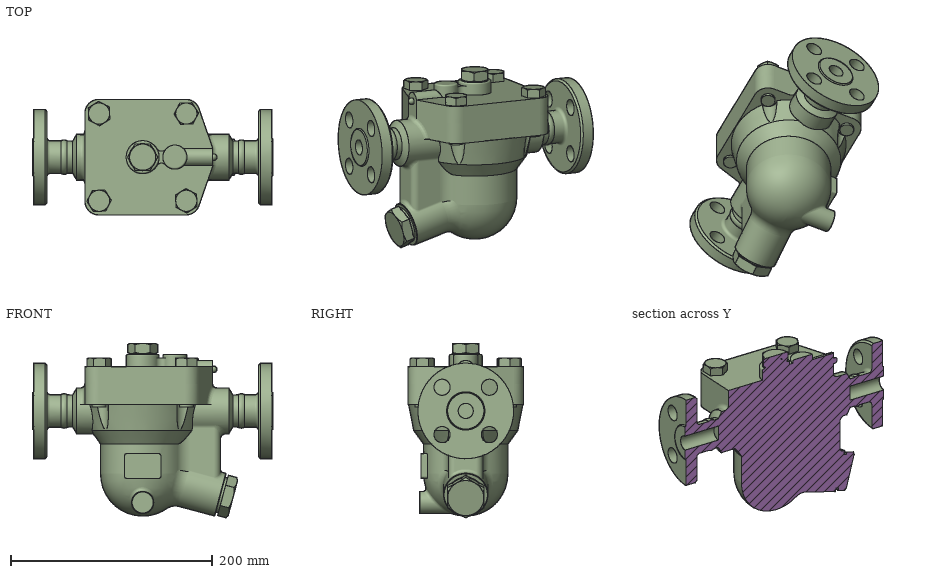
import cadquery as cq
import math


HEX_HALF_ANGLE = math.radians(30)
HEAD_CHAMFER_ANGLE = math.radians(30)

SELECT_MARGIN = 1.0

FACE_TO_FACE = 239.0
PIPE_MID_X = 10.0
HALF_LENGTH = FACE_TO_FACE / 2
RAISED_FACE_HEIGHT = 1.3
RAISED_FACE_RADIUS = 19.0
RAISED_FACE_TIP_RADIUS = 18.0
FLANGE_RADIUS = 95.0 / 2
FLANGE_THICKNESS = 13.3
FLANGE_CHAMFER = 2.0
NECK_RADIUS = 16.3
NECK_FILLET = 3.2
BEAD_OUTER = 91.0
BEAD_WIDTH = 6.0
BEAD_HEIGHT = 0.9
NECK_INNER = 79.5
PIPE_CONE_LENGTH = 4.0
PIPE_CONE_TIP_RADIUS = 16.0
PIPE_BOSS_RADIUS = 46.0 / 2
PIPE_BOSS_FILLET = 4.0
BORE_DIAMETER = 15.0
BORE_DEPTH = 40.0
FLANGE_HOLE_DIAMETER = 16.0
FLANGE_HOLE_OFFSET = 23.5

COVER_BOTTOM_Z = 6.4
COVER_JOINT_Z = 26.5
COVER_TOP_Z = 44.0
COVER_HALF_WIDTH = 115.0 / 2
COVER_END_X = 69.5
COVER_END_HALF_WIDTH = 9.0
COVER_TAPER_ANGLE = math.radians(19)
COVER_CORNER_RADIUS = 14.0

BOLT_OFFSET = 43.3
BOLT_FLATS = 21.0
BOLT_HEAD_HEIGHT = 8.6
BOLT_SHANK_DIAMETER = 14.0
BOLT_PROTRUSION = 2.7
BOLT_TURN = 2.5
SCALLOP_RADIUS = 9.3

BODY_TOP_RADIUS = 57.0
BODY_SHOULDER_RADIUS = 51.8
BODY_SHOULDER_Z = -19.3
BODY_RADIUS = 42.0
CYLINDER_TOP_Z = -32.8
DOME_CENTER_Z = -62.5

PLUG_BOSS_RADIUS = 16.4
VALVE_BOSS_RADIUS = 12.0
VALVE_BOSS_X = 32.0
BOSS_TOP_Z = 56.1
BOSS_EDGE_FILLET = 1.5
WEB_TOP_Z = 52.6
WEB_ARC_RADIUS = 5.5
PLUG_NECK_DIAMETER = 27.0
PLUG_NECK_HEIGHT = 0.8
PLUG_FLATS = 26.0
PLUG_TOP_Z = 67.0
CHANNEL_RADIUS = 8.8
CHANNEL_Z = 41.3
CHANNEL_TIP_RADIUS = 3.3
CHANNEL_TIP_STEM = 1.0

BRANCH_ANGLE = 15.0
BRANCH_RADIUS = 44.0 / 2
BRANCH_LENGTH = 80.0
BRANCH_FILLET = 15.0
BRANCH_EDGE_CHAMFER = 0.5
CAP_NECK_RADIUS = 18.0
CAP_NECK_LENGTH = 2.5
CAP_FLATS = 36.0
CAP_THICKNESS = 10.3

RIB_HALF_WIDTH = 17.0
RIB_END_X = 77.3
RIB_ROOT_RADIUS = 15.0
RIB_END_RADIUS = 6.3
RIB_BOTTOM_Z = -72.0
RIB_FOOT_FILLET = 3.0
RIB_HEAD_FILLET = 5.0
RIB_FILLET_START_X = 30.0

DRAIN_DIAMETER = 22.0
DRAIN_Z = -90.9
DRAIN_FACE_Y = -46.0
DRAIN_CHAMFER = 0.5
DRAIN_FILLET = 3.0
PAD_WIDTH = 36.0
PAD_HEIGHT = 24.5
PAD_CENTER_Z = -54.7
PAD_FACE_Y = -44.5
PAD_CORNER_RADIUS = 2.0


def hex_head(flats, height):
    """Hexagonal head on the XY plane, corners on X, with its top corners chamfered at 30 degrees."""
    corner_diameter = flats / math.cos(HEX_HALF_ANGLE)
    corner_radius = corner_diameter / 2
    drop = (corner_radius - flats / 2) * math.tan(HEAD_CHAMFER_ANGLE)
    head = cq.Workplane("XY").polygon(6, corner_diameter).extrude(height)
    turned = (
        cq.Workplane("XZ")
        .moveTo(0, 0)
        .lineTo(corner_radius, 0)
        .lineTo(corner_radius, height - drop)
        .lineTo(flats / 2, height)
        .lineTo(0, height)
        .close()
        .revolve(360, (0, 0), (0, 1))
    )
    return head.intersect(turned)


def pipe_end():
    """One pipe end along +X from the origin, with its flange, neck, weld bead and boss."""
    flange_front = HALF_LENGTH - RAISED_FACE_HEIGHT
    flange_back = flange_front - FLANGE_THICKNESS
    boss_end = NECK_INNER - PIPE_CONE_LENGTH
    arc_inset = NECK_FILLET * (1 - math.sqrt(0.5))
    turned = (
        cq.Workplane("XY")
        .moveTo(0, 0)
        .lineTo(0, PIPE_BOSS_RADIUS)
        .lineTo(boss_end, PIPE_BOSS_RADIUS)
        .lineTo(NECK_INNER, PIPE_CONE_TIP_RADIUS)
        .lineTo(BEAD_OUTER - BEAD_WIDTH, NECK_RADIUS)
        .threePointArc((BEAD_OUTER - BEAD_WIDTH / 2, NECK_RADIUS + BEAD_HEIGHT), (BEAD_OUTER, NECK_RADIUS))
        .lineTo(flange_back - NECK_FILLET, NECK_RADIUS)
        .threePointArc(
            (flange_back - arc_inset, NECK_RADIUS + arc_inset),
            (flange_back, NECK_RADIUS + NECK_FILLET),
        )
        .lineTo(flange_back, FLANGE_RADIUS - FLANGE_CHAMFER)
        .lineTo(flange_back + FLANGE_CHAMFER, FLANGE_RADIUS)
        .lineTo(flange_front, FLANGE_RADIUS)
        .lineTo(flange_front, RAISED_FACE_RADIUS)
        .lineTo(HALF_LENGTH, RAISED_FACE_TIP_RADIUS)
        .lineTo(HALF_LENGTH, 0)
        .close()
        .revolve(360, (0, 0), (1, 0))
    )
    end_plane = cq.Workplane("YZ", origin=(HALF_LENGTH, 0, 0))
    bore = end_plane.circle(BORE_DIAMETER / 2).extrude(-BORE_DEPTH)
    holes = (
        end_plane.rect(2 * FLANGE_HOLE_OFFSET, 2 * FLANGE_HOLE_OFFSET, forConstruction=True)
        .vertices()
        .circle(FLANGE_HOLE_DIAMETER / 2)
        .extrude(flange_back - HALF_LENGTH)
    )
    return turned.cut(bore).cut(holes)


def pipe():
    end = pipe_end()
    return end.union(end.mirror("YZ")).translate((PIPE_MID_X, 0, 0))


def cover_prism(bottom_z):
    """The cover outline extruded from bottom_z up to the cover top, with rounded corners."""
    taper_run = (COVER_HALF_WIDTH - COVER_END_HALF_WIDTH) * math.tan(COVER_TAPER_ANGLE)
    shoulder_x = COVER_END_X - taper_run
    prism = (
        cq.Workplane("XY", origin=(0, 0, bottom_z))
        .polyline(
            [
                (-COVER_HALF_WIDTH, -COVER_HALF_WIDTH),
                (shoulder_x, -COVER_HALF_WIDTH),
                (COVER_END_X, -COVER_END_HALF_WIDTH),
                (COVER_END_X, COVER_END_HALF_WIDTH),
                (shoulder_x, COVER_HALF_WIDTH),
                (-COVER_HALF_WIDTH, COVER_HALF_WIDTH),
            ]
        )
        .close()
        .extrude(COVER_TOP_Z - bottom_z)
    )
    return prism.edges("|Z").edges("<Y or >Y").fillet(COVER_CORNER_RADIUS)


def flanges_on_pipe_boss():
    """The cover outline, extended down past the pipe boss and filleted onto it."""
    deep_z = -2 * PIPE_BOSS_RADIUS
    boss_start = -COVER_HALF_WIDTH - 2 * PIPE_BOSS_FILLET
    boss_end = COVER_END_X + 2 * PIPE_BOSS_FILLET
    boss = (
        cq.Workplane("YZ", origin=(boss_start, 0, 0))
        .circle(PIPE_BOSS_RADIUS)
        .extrude(boss_end - boss_start)
    )
    joined = cover_prism(deep_z).union(boss)
    reach = PIPE_BOSS_RADIUS + SELECT_MARGIN
    boss_root_zone = cq.selectors.BoxSelector(
        (boss_start + SELECT_MARGIN, -reach, -reach),
        (boss_end - SELECT_MARGIN, reach, reach),
        boundingbox=True,
    )
    return joined.edges(boss_root_zone).fillet(PIPE_BOSS_FILLET)


def cover_layer(bottom_z, top_z):
    """The horizontal slice of the filleted cover outline between two heights."""
    size = 4 * COVER_HALF_WIDTH
    slab = cq.Workplane("XY", origin=(0, 0, bottom_z)).rect(size, size).extrude(top_z - bottom_z)
    return flanges_on_pipe_boss().intersect(slab)


def body_flange():
    return cover_layer(COVER_BOTTOM_Z, COVER_JOINT_Z)


def cover():
    return cover_layer(COVER_JOINT_Z, COVER_TOP_Z)


def bolt_points():
    return [(BOLT_OFFSET * sx, BOLT_OFFSET * sy) for sx, sy in ((-1, -1), (1, -1), (1, 1), (-1, 1))]


def bolts():
    solids = cq.Workplane("XY")
    for index, (x, y) in enumerate(bolt_points()):
        head = hex_head(BOLT_FLATS, BOLT_HEAD_HEIGHT).rotate((0, 0, 0), (0, 0, 1), BOLT_TURN + 90 * index)
        solids = solids.union(head.translate((x, y, COVER_TOP_Z)))
    shanks = (
        cq.Workplane("XY", origin=(0, 0, COVER_BOTTOM_Z - BOLT_PROTRUSION))
        .pushPoints(bolt_points())
        .circle(BOLT_SHANK_DIAMETER / 2)
        .extrude(COVER_TOP_Z - COVER_BOTTOM_Z + BOLT_PROTRUSION)
    )
    return solids.union(shanks)


def body():
    """Turned body with a vertical clearance scallop under each cover bolt."""
    dome_mid = BODY_RADIUS * math.sqrt(0.5)
    turned = (
        cq.Workplane("XZ")
        .moveTo(0, COVER_BOTTOM_Z)
        .lineTo(BODY_TOP_RADIUS, COVER_BOTTOM_Z)
        .lineTo(BODY_SHOULDER_RADIUS, BODY_SHOULDER_Z)
        .lineTo(BODY_RADIUS, CYLINDER_TOP_Z)
        .lineTo(BODY_RADIUS, DOME_CENTER_Z)
        .threePointArc((dome_mid, DOME_CENTER_Z - dome_mid), (0, DOME_CENTER_Z - BODY_RADIUS))
        .close()
        .revolve(360, (0, 0), (0, 1))
    )
    scallops = (
        cq.Workplane("XY", origin=(0, 0, COVER_BOTTOM_Z))
        .pushPoints(bolt_points())
        .circle(SCALLOP_RADIUS)
        .extrude(CYLINDER_TOP_Z - COVER_BOTTOM_Z)
    )
    return turned.cut(scallops)


def body_with_drain():
    """Body with the horizontal drain boss, filleted where the boss leaves the dome."""
    boss = cq.Workplane("XZ", origin=(0, 0, DRAIN_Z)).circle(DRAIN_DIAMETER / 2).extrude(-DRAIN_FACE_Y)
    boss = boss.faces("<Y").edges().chamfer(DRAIN_CHAMFER)
    dome_bottom_z = DOME_CENTER_Z - BODY_RADIUS
    drain_top_z = DRAIN_Z + DRAIN_DIAMETER / 2
    root_zone = cq.selectors.BoxSelector(
        (-DRAIN_DIAMETER, -BODY_RADIUS, dome_bottom_z),
        (DRAIN_DIAMETER, -SELECT_MARGIN, drain_top_z + SELECT_MARGIN),
        boundingbox=True,
    )
    return body().union(boss).edges(root_zone).fillet(DRAIN_FILLET)


def along_branch(solid):
    """Moves a solid built along +Z from the origin onto the branch axis."""
    return solid.rotate((0, 0, 0), (0, 1, 0), 90 + BRANCH_ANGLE).translate((0, 0, DOME_CENTER_Z))


def branch():
    """Branch tube with its concave flare onto the dome."""
    arc_center_r = BRANCH_RADIUS + BRANCH_FILLET
    flare_end = math.sqrt((BODY_RADIUS + BRANCH_FILLET) ** 2 - arc_center_r**2)
    to_dome = BODY_RADIUS / (BODY_RADIUS + BRANCH_FILLET)
    lean = math.atan2(flare_end, arc_center_r) / 2
    arc_mid = (arc_center_r - BRANCH_FILLET * math.cos(lean), flare_end - BRANCH_FILLET * math.sin(lean))
    turned = (
        cq.Workplane("XZ")
        .moveTo(0, 0)
        .lineTo(arc_center_r * to_dome, flare_end * to_dome)
        .threePointArc(arc_mid, (BRANCH_RADIUS, flare_end))
        .lineTo(BRANCH_RADIUS, BRANCH_LENGTH - BRANCH_EDGE_CHAMFER)
        .lineTo(BRANCH_RADIUS - BRANCH_EDGE_CHAMFER, BRANCH_LENGTH)
        .lineTo(0, BRANCH_LENGTH)
        .close()
        .revolve(360, (0, 0), (0, 1))
    )
    return along_branch(turned)


def branch_cap():
    neck = cq.Workplane("XY", origin=(0, 0, BRANCH_LENGTH)).circle(CAP_NECK_RADIUS).extrude(CAP_NECK_LENGTH)
    head = hex_head(CAP_FLATS, CAP_THICKNESS).translate((0, 0, BRANCH_LENGTH + CAP_NECK_LENGTH))
    return along_branch(neck.union(head))


def rib():
    """Upright rib with concave roots onto the body cylinder and a rounded outer end."""
    root_y = RIB_HALF_WIDTH + RIB_ROOT_RADIUS
    root_x = math.sqrt((BODY_RADIUS + RIB_ROOT_RADIUS) ** 2 - root_y**2)
    to_body = BODY_RADIUS / (BODY_RADIUS + RIB_ROOT_RADIUS)
    lean = math.atan2(root_x, root_y) / 2
    mid_x = root_x - RIB_ROOT_RADIUS * math.sin(lean)
    mid_y = root_y - RIB_ROOT_RADIUS * math.cos(lean)
    start_x = root_x * to_body
    start_y = root_y * to_body
    plan = (
        cq.Workplane("XY", origin=(0, 0, RIB_BOTTOM_Z))
        .moveTo(0, -start_y)
        .lineTo(start_x, -start_y)
        .threePointArc((mid_x, -mid_y), (root_x, -RIB_HALF_WIDTH))
        .lineTo(RIB_END_X, -RIB_HALF_WIDTH)
        .lineTo(RIB_END_X, RIB_HALF_WIDTH)
        .lineTo(root_x, RIB_HALF_WIDTH)
        .threePointArc((mid_x, mid_y), (start_x, start_y))
        .lineTo(0, start_y)
        .close()
    )
    return plan.extrude(-RIB_BOTTOM_Z).edges("|Z and >X").fillet(RIB_END_RADIUS)


def rib_with_fillets():
    """Rib with its fillets onto the pipe boss above it and the branch tube below it."""
    tube = along_branch(cq.Workplane("XY").circle(BRANCH_RADIUS).extrude(BRANCH_LENGTH - BRANCH_EDGE_CHAMFER))
    boss_length = PIPE_MID_X + NECK_INNER - PIPE_CONE_LENGTH
    boss = cq.Workplane("YZ").circle(PIPE_BOSS_RADIUS).extrude(boss_length)

    size = 4 * BRANCH_LENGTH
    beyond_start = cq.Workplane("YZ", origin=(RIB_FILLET_START_X, 0, 0)).rect(size, size).extrude(size)
    core = (
        cq.Workplane("XY", origin=(RIB_END_X / 2, 0, RIB_BOTTOM_Z))
        .rect(RIB_END_X, 2 * RIB_HALF_WIDTH)
        .extrude(-RIB_BOTTOM_Z)
        .edges("|Z and >X")
        .fillet(RIB_END_RADIUS)
    )
    joined = core.union(tube).union(boss).intersect(beyond_start)
    near_x = RIB_FILLET_START_X + SELECT_MARGIN
    reach_x = RIB_END_X + SELECT_MARGIN
    reach_y = RIB_HALF_WIDTH + SELECT_MARGIN
    split_z = -PIPE_BOSS_RADIUS - SELECT_MARGIN
    foot_zone = cq.selectors.BoxSelector((near_x, -reach_y, RIB_BOTTOM_Z), (reach_x, reach_y, split_z))
    head_zone = cq.selectors.BoxSelector((near_x, -reach_y, split_z), (reach_x, reach_y, -SELECT_MARGIN))
    joined = joined.edges("not |Z").edges(foot_zone).fillet(RIB_FOOT_FILLET)
    joined = joined.edges("not |Z").edges(head_zone).fillet(RIB_HEAD_FILLET)
    return rib().union(joined)


def cover_bosses():
    """Plug boss and valve boss on the cover, the waisted web between them, and the plug."""
    boss_height = BOSS_TOP_Z - COVER_TOP_Z
    top = cq.Workplane("XY", origin=(0, 0, COVER_TOP_Z))
    plug_boss = top.circle(PLUG_BOSS_RADIUS).extrude(boss_height).faces(">Z").edges().fillet(BOSS_EDGE_FILLET)
    valve_boss = top.center(VALVE_BOSS_X, 0).circle(VALVE_BOSS_RADIUS).extrude(boss_height)
    valve_boss = valve_boss.faces(">Z").edges().fillet(BOSS_EDGE_FILLET)

    to_plug = PLUG_BOSS_RADIUS + WEB_ARC_RADIUS
    to_valve = VALVE_BOSS_RADIUS + WEB_ARC_RADIUS
    arc_x = (VALVE_BOSS_X**2 + to_plug**2 - to_valve**2) / (2 * VALVE_BOSS_X)
    arc_y = math.sqrt(to_plug**2 - arc_x**2)
    web = (
        top.polyline([(0, 0), (arc_x, arc_y), (VALVE_BOSS_X, 0), (arc_x, -arc_y)])
        .close()
        .extrude(WEB_TOP_Z - COVER_TOP_Z)
    )
    waists = (
        top.pushPoints([(arc_x, arc_y), (arc_x, -arc_y)])
        .circle(WEB_ARC_RADIUS)
        .extrude(WEB_TOP_Z - COVER_TOP_Z)
    )
    web = web.cut(waists)

    neck_top_z = BOSS_TOP_Z + PLUG_NECK_HEIGHT
    neck = (
        cq.Workplane("XY", origin=(0, 0, COVER_TOP_Z))
        .circle(PLUG_NECK_DIAMETER / 2)
        .extrude(neck_top_z - COVER_TOP_Z)
    )
    head_height = PLUG_TOP_Z - neck_top_z
    head = hex_head(PLUG_FLATS, head_height)
    upside_down = head.mirror("XY").translate((0, 0, head_height))
    head = head.intersect(upside_down).translate((0, 0, neck_top_z))
    return plug_boss.union(web).union(valve_boss).union(neck).union(head)


def valve_channel():
    """Horizontal channel from the valve boss to the cover end, with a rounded tip."""
    channel = (
        cq.Workplane("YZ", origin=(VALVE_BOSS_X, 0, CHANNEL_Z))
        .circle(CHANNEL_RADIUS)
        .extrude(COVER_END_X - VALVE_BOSS_X)
    )
    tip_mid = CHANNEL_TIP_RADIUS * math.sqrt(0.5)
    tip = (
        cq.Workplane("XZ", origin=(COVER_END_X, 0, CHANNEL_Z))
        .moveTo(0, 0)
        .lineTo(0, CHANNEL_TIP_RADIUS)
        .lineTo(CHANNEL_TIP_STEM, CHANNEL_TIP_RADIUS)
        .threePointArc((CHANNEL_TIP_STEM + tip_mid, tip_mid), (CHANNEL_TIP_STEM + CHANNEL_TIP_RADIUS, 0))
        .close()
        .revolve(360, (0, 0), (1, 0))
    )
    return channel.union(tip)


def name_plate_pad():
    pad = cq.Workplane("XZ", origin=(0, 0, PAD_CENTER_Z)).rect(PAD_WIDTH, PAD_HEIGHT).extrude(-PAD_FACE_Y)
    return pad.edges("|Y").fillet(PAD_CORNER_RADIUS)


def lower_assembly():
    """Body, pipe run, strainer branch and body flange, joined below the cover."""
    return (
        body_with_drain()
        .union(rib_with_fillets())
        .union(branch())
        .union(pipe())
        .union(branch_cap())
        .union(name_plate_pad())
        .union(body_flange())
    )


def upper_assembly():
    """The cover with its bosses and bolts; the bolt shanks reach down through the body flange."""
    return cover().union(valve_channel()).union(cover_bosses()).union(bolts())


result = lower_assembly().union(upper_assembly(), clean=False)